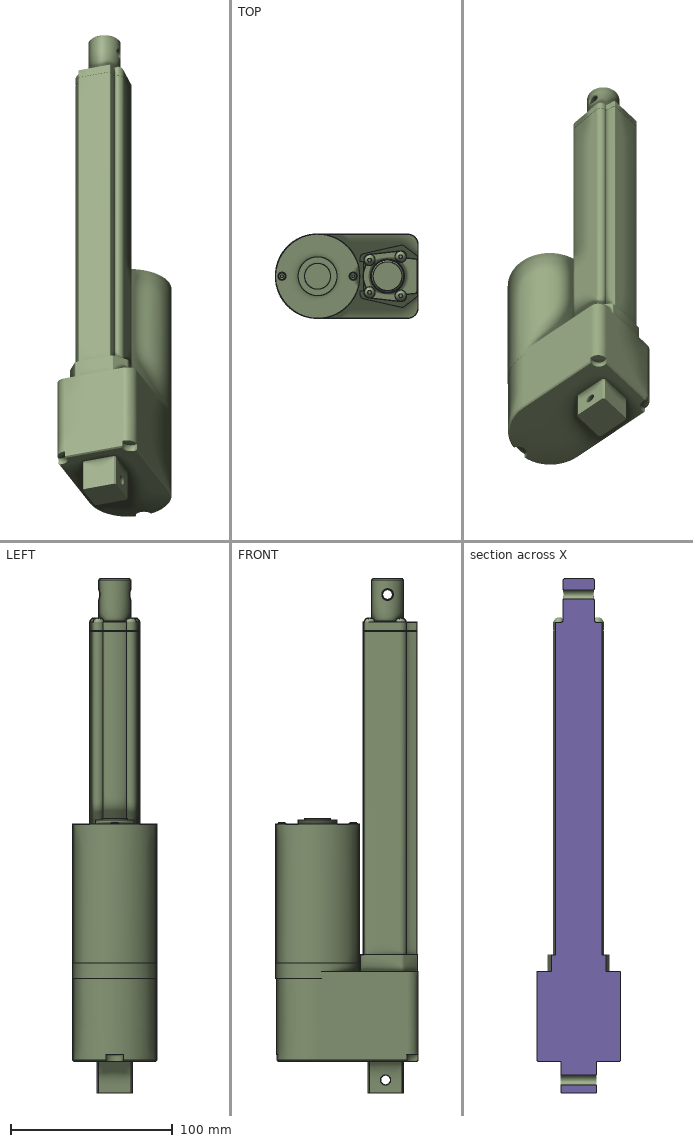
import math

import cadquery as cq


GEARBOX_BOTTOM = 19.5
COVER_TOP = 40.2
PLATE_BOTTOM = 70.8
PLATE_TOP = 75.2
FLANGE_TOP = 80.2
COLLAR_TOP = 85.5
MOTOR_TOP = 166.0
GASKET_BOTTOM = 285.0
GASKET_TOP = 285.7
TUBE_TOP = 290.7
ROD_TOP = 317.8

GEARBOX_WIDTH = 52.0
GEARBOX_REAR_RADIUS = 25.5
GEARBOX_FRONT_X = 62.08
GEARBOX_FRONT_RADIUS = 6.5
GEARBOX_BOTTOM_CHAMFER = 0.8
SCALLOP_DIAMETER = 10.6
SCALLOP_HEIGHT = 4.2
SCALLOP_CORNER_INSET = 2.2

FLANGE_DIAMETER = 52.2
MOTOR_DIAMETER = 52.0
MOTOR_BOSS_DIAMETER = 24.0
MOTOR_BOSS_HEIGHT = 2.7
MOTOR_HUB_DIAMETER = 16.0
MOTOR_HUB_HEIGHT = 0.9
MOTOR_WASHER_DIAMETER = 5.0
MOTOR_WASHER_HEIGHT = 0.4
MOTOR_SCREW_DIAMETER = 4.0
MOTOR_SCREW_HEIGHT = 1.0
MOTOR_SCREW_OFFSET = 22.0
MOTOR_SOCKET_SIZE = 2.0
MOTOR_SOCKET_DEPTH = 0.5

ROD_X = 43.2
ROD_DIAMETER = 20.0
ROD_CHAMFER = 1.1
ROD_HOLE_DIAMETER = 6.0
ROD_HOLE_CHAMFER = 0.6
ROD_HOLE_BELOW_TOP = 10.0
ROD_SEAL_DIAMETER = 21.0
ROD_SEAL_HEIGHT = 0.7

REAR_LOBE = (32.1, 10.0)
REAR_LOBE_RADIUS = 3.5
FRONT_LOBE = (51.3, 12.0)
FRONT_LOBE_RADIUS = 3.7
TUBE_REAR_BULGE_RADIUS = 15.1
TUBE_FRONT_X = 61.4
TAIL_REAR_HALF_WIDTH = 11.7
TAIL_FRONT_HALF_WIDTH = 10.6
TAIL_EDGE_RADIUS = 0.8
GASKET_INSET = 0.2

CAP_SCREW_DIAMETER = 7.0
CAP_SCREW_HEIGHT = 2.9
CAP_SOCKET_SIZE = 2.5
CAP_SOCKET_DEPTH = 1.5

COLLAR_REAR_CENTER = (29.1, 11.2)
COLLAR_REAR_RADIUS = 2.8
COLLAR_SHOULDER_CENTER = (52.0, 16.6)
COLLAR_SHOULDER_RADIUS = 2.6
COLLAR_FRONT_X = 61.7
COLLAR_FRONT_RADIUS = 0.8
COLLAR_FRONT_CENTER_Y = 12.0
COLLAR_RECESS_X = 28.4
COLLAR_RECESS_HALF_WIDTH = 9.0

TANG_X = 42.0
TANG_SIZE = 22.0
TANG_EDGE_CHAMFER = 1.0
TANG_HOLE_DIAMETER = 6.0
TANG_HOLE_HEIGHT = 8.1


def cylinder(x, y, bottom, top, diameter):
    return cq.Workplane("XY", origin=(x, y, bottom)).circle(diameter / 2).extrude(top - bottom)


def box(x_range, y_range, z_range):
    size = [high - low for low, high in (x_range, y_range, z_range)]
    return cq.Workplane("XY").box(*size, centered=False).translate((x_range[0], y_range[0], z_range[0]))


def rounded_hull(circles, bottom, top):
    """Prism whose outline is a tight band around the (x, y, radius) circles, listed counter-clockwise."""
    spans = []
    for start, end in zip(circles, circles[1:] + circles[:1]):
        dx = end[0] - start[0]
        dy = end[1] - start[1]
        tilt = math.asin((start[2] - end[2]) / math.hypot(dx, dy))
        spans.append(math.atan2(dy, dx) - math.pi / 2 + tilt)

    def on_circle(circle, angle):
        return (circle[0] + circle[2] * math.cos(angle), circle[1] + circle[2] * math.sin(angle))

    outline = cq.Workplane("XY", origin=(0, 0, bottom)).moveTo(*on_circle(circles[0], spans[0]))
    for index in range(len(circles)):
        arriving = spans[index]
        following = (index + 1) % len(circles)
        circle = circles[following]
        turn = (spans[following] - arriving) % (2 * math.pi)
        outline = outline.lineTo(*on_circle(circle, arriving))
        outline = outline.threePointArc(
            on_circle(circle, arriving + turn / 2), on_circle(circle, arriving + turn)
        )
    return outline.close().extrude(top - bottom)


def mirrored(circles):
    """Circles of the -Y side in order, followed by their mirror images on the +Y side."""
    return [(x, -y, r) for x, y, r in circles] + [(x, y, r) for x, y, r in reversed(circles)]


def gearbox_section(bottom, top):
    half_width = GEARBOX_WIDTH / 2
    rear_arc = (0, half_width - GEARBOX_REAR_RADIUS, GEARBOX_REAR_RADIUS)
    front_corner = (
        GEARBOX_FRONT_X - GEARBOX_FRONT_RADIUS,
        half_width - GEARBOX_FRONT_RADIUS,
        GEARBOX_FRONT_RADIUS,
    )
    return rounded_hull(mirrored([rear_arc, front_corner]), bottom, top)


def make_gearbox():
    """Bottom cover, case and top plate, keeping the joints between them as edges."""
    cover = gearbox_section(GEARBOX_BOTTOM, COVER_TOP).faces("<Z").chamfer(GEARBOX_BOTTOM_CHAMFER)
    case = gearbox_section(COVER_TOP, PLATE_BOTTOM)
    plate = gearbox_section(PLATE_BOTTOM, PLATE_TOP)
    return cut_scallops(cover).union(case, clean=False).union(plate, clean=False)


def cut_scallops(body):
    """Round notches that break out through the rear end and the two front corners."""
    corner_x = GEARBOX_FRONT_X - SCALLOP_CORNER_INSET
    corner_y = GEARBOX_WIDTH / 2 - SCALLOP_CORNER_INSET
    for x, y in [(-GEARBOX_REAR_RADIUS, 0), (corner_x, -corner_y), (corner_x, corner_y)]:
        top = GEARBOX_BOTTOM + SCALLOP_HEIGHT
        body = body.cut(cylinder(x, y, GEARBOX_BOTTOM, top, SCALLOP_DIAMETER))
    return body


def make_motor():
    boss_top = MOTOR_TOP + MOTOR_BOSS_HEIGHT
    washer_top = MOTOR_TOP + MOTOR_WASHER_HEIGHT
    screw_top = MOTOR_TOP + MOTOR_SCREW_HEIGHT
    motor = cylinder(0, 0, PLATE_BOTTOM, FLANGE_TOP, FLANGE_DIAMETER)
    motor = motor.union(cylinder(0, 0, FLANGE_TOP, MOTOR_TOP, MOTOR_DIAMETER))
    motor = motor.union(cylinder(0, 0, MOTOR_TOP, boss_top, MOTOR_BOSS_DIAMETER))
    motor = motor.union(cylinder(0, 0, boss_top, boss_top + MOTOR_HUB_HEIGHT, MOTOR_HUB_DIAMETER))
    for x in (-MOTOR_SCREW_OFFSET, MOTOR_SCREW_OFFSET):
        motor = motor.union(cylinder(x, 0, MOTOR_TOP, washer_top, MOTOR_WASHER_DIAMETER))
        motor = motor.union(cylinder(x, 0, washer_top, screw_top, MOTOR_SCREW_DIAMETER))
        motor = motor.cut(hex_socket(x, 0, screw_top, MOTOR_SOCKET_SIZE, MOTOR_SOCKET_DEPTH))
    return motor


def hex_socket(x, y, top, size, depth):
    return cq.Workplane("XY", origin=(x, y, top)).polygon(6, size).extrude(-depth)


def tube_section(bottom, top, inset=0):
    """Tapered body between four lobes, with a round bulge to the rear and a tail to the front."""
    rear_x, rear_y = REAR_LOBE
    front_x, front_y = FRONT_LOBE
    rear_radius = REAR_LOBE_RADIUS - inset
    bulge_radius = TUBE_REAR_BULGE_RADIUS - inset
    body = rounded_hull(
        mirrored([(rear_x, rear_y, rear_radius), (front_x, front_y, FRONT_LOBE_RADIUS - inset)]), bottom, top
    )
    between_lobes = box((ROD_X - bulge_radius, rear_x), (-rear_y, rear_y), (bottom, top))
    bulge = cylinder(ROD_X, 0, bottom, top, 2 * bulge_radius).intersect(between_lobes)
    body = body.cut(between_lobes).union(bulge)
    for y in (-rear_y, rear_y):
        body = body.union(cylinder(rear_x, y, bottom, top, 2 * rear_radius))
    return body.union(tube_tail(bottom, top, inset))


def tube_tail(bottom, top, inset):
    rear_half_width = TAIL_REAR_HALF_WIDTH - inset
    front_half_width = TAIL_FRONT_HALF_WIDTH - inset
    front_x = TUBE_FRONT_X - inset
    tail = (
        cq.Workplane("XY", origin=(0, 0, bottom))
        .moveTo(FRONT_LOBE[0], -rear_half_width)
        .lineTo(front_x, -front_half_width)
        .lineTo(front_x, front_half_width)
        .lineTo(FRONT_LOBE[0], rear_half_width)
        .close()
        .extrude(top - bottom)
    )
    return tail.faces(">X").edges("|Z").fillet(TAIL_EDGE_RADIUS)


def make_tube():
    """Tube and end cap with a slightly narrower gasket between, plus the cap screws and the rod seal."""
    tube = tube_section(PLATE_TOP, GASKET_BOTTOM)
    tube = tube.union(tube_section(GASKET_BOTTOM, GASKET_TOP, GASKET_INSET))
    tube = tube.union(tube_section(GASKET_TOP, TUBE_TOP))
    for x, y in (REAR_LOBE, FRONT_LOBE):
        for side in (-1, 1):
            tube = tube.union(make_cap_screw(x, side * y))
    return tube.union(cylinder(ROD_X, 0, TUBE_TOP, TUBE_TOP + ROD_SEAL_HEIGHT, ROD_SEAL_DIAMETER))


def make_cap_screw(x, y):
    """Spherical cap with a hexagon socket."""
    base_radius = CAP_SCREW_DIAMETER / 2
    sphere_radius = (base_radius**2 + CAP_SCREW_HEIGHT**2) / (2 * CAP_SCREW_HEIGHT)
    screw_top = TUBE_TOP + CAP_SCREW_HEIGHT
    ball = cq.Workplane("XY", origin=(x, y, screw_top - sphere_radius)).sphere(sphere_radius)
    head = ball.intersect(cylinder(x, y, TUBE_TOP, screw_top, CAP_SCREW_DIAMETER))
    return head.cut(hex_socket(x, y, screw_top, CAP_SOCKET_SIZE, CAP_SOCKET_DEPTH))


def make_collar():
    collar = rounded_hull(
        mirrored([
            (*COLLAR_REAR_CENTER, COLLAR_REAR_RADIUS),
            (*COLLAR_SHOULDER_CENTER, COLLAR_SHOULDER_RADIUS),
            (COLLAR_FRONT_X - COLLAR_FRONT_RADIUS, COLLAR_FRONT_CENTER_Y, COLLAR_FRONT_RADIUS),
        ]),
        PLATE_TOP,
        COLLAR_TOP,
    )
    recess = box(
        (COLLAR_REAR_CENTER[0] - COLLAR_REAR_RADIUS, COLLAR_RECESS_X),
        (-COLLAR_RECESS_HALF_WIDTH, COLLAR_RECESS_HALF_WIDTH),
        (PLATE_TOP, COLLAR_TOP),
    )
    return collar.cut(recess)


def cross_hole(x, z, diameter, length):
    """Cylinder along Y, centred on the XZ plane."""
    return cq.Workplane("XZ", origin=(x, 0, z)).circle(diameter / 2).extrude(length / 2, both=True)


def make_rod():
    rod = cylinder(ROD_X, 0, TUBE_TOP, ROD_TOP, ROD_DIAMETER)
    rod = rod.faces(">Z").chamfer(ROD_CHAMFER)
    hole_height = ROD_TOP - ROD_HOLE_BELOW_TOP
    rod = rod.cut(cross_hole(ROD_X, hole_height, ROD_HOLE_DIAMETER, 2 * ROD_DIAMETER))
    half_hole = ROD_HOLE_DIAMETER / 2
    margin = ROD_HOLE_DIAMETER / 4
    hole_rims = cq.selectors.BoxSelector(
        (ROD_X - half_hole - margin, -ROD_DIAMETER, hole_height - half_hole - margin),
        (ROD_X + half_hole + margin, ROD_DIAMETER, hole_height + half_hole + margin),
        boundingbox=True,
    )
    return rod.edges(hole_rims).edges("not %LINE").chamfer(ROD_HOLE_CHAMFER)


def make_tang():
    tang = cq.Workplane("XY", origin=(TANG_X, 0, 0)).rect(TANG_SIZE, TANG_SIZE).extrude(GEARBOX_BOTTOM)
    tang = tang.edges("|Z").chamfer(TANG_EDGE_CHAMFER)
    return tang.cut(cross_hole(TANG_X, TANG_HOLE_HEIGHT, TANG_HOLE_DIAMETER, 2 * TANG_SIZE))


result = make_gearbox()
for component in (make_tang(), make_motor(), make_collar(), make_tube(), make_rod()):
    result = result.union(component, clean=False)